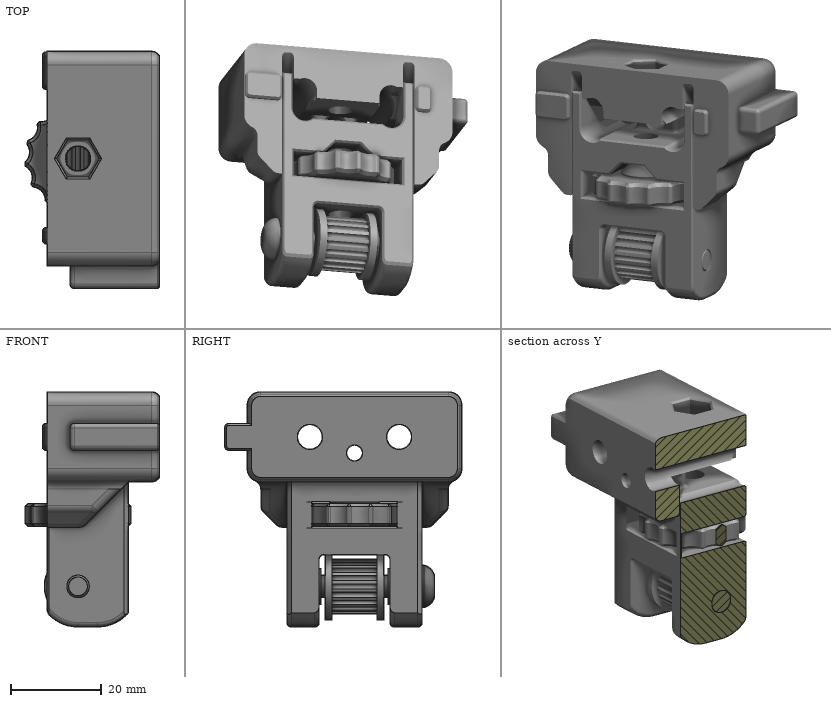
import cadquery as cq
import math


HOUSING_DEPTH = 25.0
HOUSING_WIDTH = 47.7
HOUSING_HEIGHT = 20.0
HOUSING_CORNER_RADIUS = 3.0
END_CHAMFER = 1.0
END_BLEND_RADIUS = 2.0
MID_HEIGHT = -HOUSING_HEIGHT / 2

CHEEK_HALF_WIDTH = 20.8
CHEEK_BOTTOM = -30.1
CHEEK_CORNER_DROP = 4.0
CHEEK_RADIUS = 2.0

CARRIAGE_WIDTH = 30.05
CARRIAGE_DEPTH = 18.0
SLIDE_GAP = 0.15
ARM_INNER = 12.7
ARM_TOP = -6.25
ARM_TIP_DEPTH = 0.55
FLOOR = -16.45
FRONT_CHAMFER = 0.4
BACK_CHAMFER = 1.0
LEG_FILLET = 1.0
LEG_END_RADIUS = 9.0

ARM_SLOT_TOP = -1.6
ARM_SLOT_INNER = 12.5
ARM_SLOT_FILLET = 0.8
CAVITY_TOP = -11.7
RELIEF_TOP = -7.55
RELIEF_INNER = 7.15
CAVITY_HALF_WIDTH = CARRIAGE_WIDTH / 2 + SLIDE_GAP
CAVITY_DEPTH = CARRIAGE_DEPTH + SLIDE_GAP

MOUNT_HOLE_DIAMETER = 5.5
MOUNT_HOLE_OFFSET = 9.9
PAD_HEIGHT = 6.0
PAD_THICKNESS = 1.0
PAD_CORNER_RADIUS = 1.0
PAD_CHAMFER = 0.5
PAD_INNER = 15.35
LONG_PAD_LENGTH = 8.4
SHORT_PAD_LENGTH = 3.6
SIDE_RAIL_START = 5.05
SIDE_RAIL_HEIGHT = 5.0
SIDE_RAIL_FILLET = 1.0
SIDE_RAIL_END_CHAMFER = 0.4

SCREW_X = 6.85
SCREW_HOLE_DIAMETER = 5.5
NUT_CORNER_DIAMETER = 9.5
NUT_POCKET_DEPTH = 6.6
NUT_POCKET_CHAMFER = 0.4

BOSS_HALF_WIDTH = 5.05
BOSS_FRONT = 11.8
BOSS_TOP = -10.45
BOSS_FILLET = 1.0
BOSS_HOLE_DIAMETER = 4.7
BOSS_HOLE_CHAMFER = 0.4
LOCK_HOLE_DIAMETER = 3.5
LOCK_HOLE_Z = -13.6
BOSS_POCKET_TOP = -6.0
BOSS_POCKET_GAP = 0.3

LOBE_Z = -14.35
LOBE_RADIUS = ARM_INNER - MOUNT_HOLE_OFFSET

WHEEL_RADIUS = 11.85
WHEEL_TOP = -24.75
WHEEL_BOTTOM = -29.95
WHEEL_CHAMFER = 0.75
WHEEL_HOLE_DIAMETER = 5.4
SCALLOP_COUNT = 15
SCALLOP_DIAMETER = 5.8
SCALLOP_CENTRE_RADIUS = 13.75
SCALLOP_TIP_FILLET = 0.4
CONE_BASE_DIAMETER = 11.1
CONE_TOP_DIAMETER = 5.8
CONE_BASE = -24.45
CONE_TOP = -22.15
WINDOW_HALF_WIDTH = 12.45
WINDOW_TOP = -24.45
WINDOW_BOTTOM = -30.2
WINDOW_BACK_RADIUS = 2.95
CONE_RECESS_TOP = -21.55
CONE_RECESS_TOP_RADIUS = 2.85

AXLE_X = SCREW_X
AXLE_Z = -43.2
AXLE_DIAMETER = 5.0
AXLE_TIP_CHAMFER = 0.4
HEAD_DIAMETER = 9.5
HEAD_FLAT_DIAMETER = 4.7
HEAD_HEIGHT = 2.8
HEAD_RIM = 0.35
HEAD_DOME_BULGE = 0.5
FORK_HALF_GAP = 7.85
FORK_TOP = -36.2
FORK_CORNER_RADIUS = 1.0
WASHER_DIAMETER = 8.0
WASHER_THICKNESS = 0.4
FLANGE_DIAMETER = 15.0
FLANGE_OUTER = 6.55
FLANGE_INNER = 4.95
FLANGE_CLEARANCE = 0.2
TOOTH_COUNT = 20
TOOTH_DIAMETER = 12.25
GROOVE_RADIUS = 0.6
GROOVE_CENTRE_RADIUS = 5.95

BELOW_PART = -57.95


def box(x_range, y_range, z_range):
    """Box between the given limits."""
    size = [limits[1] - limits[0] for limits in (x_range, y_range, z_range)]
    corner = (x_range[0], y_range[0], z_range[0])
    return cq.Workplane("XY").box(*size, centered=False).translate(corner)


def rod_x(diameter, start, end, y, z):
    """Round bar along X."""
    return cq.Workplane("YZ", origin=(start, y, z)).circle(diameter / 2).extrude(end - start)


def rod_y(diameter, start, end):
    """Round bar along Y, on the axle line."""
    bar = cq.Workplane("XZ", origin=(AXLE_X, start, AXLE_Z)).circle(diameter / 2)
    return bar.extrude(start - end)


def rod_z(diameter, bottom, top):
    """Round bar along Z, on the adjusting screw line."""
    return cq.Workplane("XY", origin=(SCREW_X, 0, bottom)).circle(diameter / 2).extrude(top - bottom)


def cone(base_radius, base_z, top_radius, top_z):
    """Truncated cone on the adjusting screw line."""
    outline = [(0, base_z), (base_radius, base_z), (top_radius, top_z), (0, top_z)]
    solid = cq.Workplane("XZ").polyline(outline).close().revolve(360, (0, 0), (0, 1))
    return solid.translate((SCREW_X, 0, 0))


def profile_xz(points, half_width):
    """Polygon of (x, z) points extended equally to both sides of Y = 0."""
    return cq.Workplane("XZ").polyline(points).close().extrude(half_width, both=True)


def mirror_pair(shape):
    """The shape together with its mirror image across Y = 0."""
    return shape.union(shape.mirror("XZ"))


def housing_block():
    """Rounded block whose far end is chamfered and blended into the sides."""
    block = box((0, HOUSING_DEPTH), (-HOUSING_WIDTH / 2, HOUSING_WIDTH / 2), (-HOUSING_HEIGHT, 0))
    block = block.edges("|X").fillet(HOUSING_CORNER_RADIUS)
    block = block.faces(">X").chamfer(END_CHAMFER)
    blend_plane = HOUSING_DEPTH - END_CHAMFER
    near_plane = cq.selectors.BoxSelector(
        (blend_plane - 0.05, -HOUSING_WIDTH, -2 * HOUSING_HEIGHT),
        (blend_plane + 0.05, HOUSING_WIDTH, HOUSING_HEIGHT),
    )
    return block.edges(near_plane).fillet(END_BLEND_RADIUS)


def slope_x(z):
    """X of the 45 degree back face of the cheeks at height z."""
    return CARRIAGE_DEPTH + HOUSING_HEIGHT + z


def cheeks():
    """Guide below the block with 45 degree lower corners and a back face sloping at 45 degrees."""
    top = -HOUSING_HEIGHT + HOUSING_CORNER_RADIUS
    outline = [(0, top), (slope_x(top), top), (slope_x(CHEEK_BOTTOM), CHEEK_BOTTOM), (0, CHEEK_BOTTOM)]
    body = profile_xz(outline, CHEEK_HALF_WIDTH)
    body = body.edges("|X").edges("<Z").chamfer(CHEEK_CORNER_DROP)
    back_slope = body.faces(cq.selectors.DirectionMinMaxSelector(cq.Vector(1, 0, -1), True))
    below_block = cq.selectors.BoxSelector(
        (-0.55, -HOUSING_WIDTH, BELOW_PART), (HOUSING_DEPTH, HOUSING_WIDTH, top - 0.55)
    )
    rounded = body.edges("|X").edges(below_block).add(back_slope.edges(below_block))
    return body.newObject(rounded.vals()).fillet(CHEEK_RADIUS)


def cheek_flare(side):
    """Concave blend from the lower corner of the block into the side of one cheek."""
    block_y = HOUSING_WIDTH / 2 - HOUSING_CORNER_RADIUS
    block_z = -HOUSING_HEIGHT + HOUSING_CORNER_RADIUS
    reach = HOUSING_CORNER_RADIUS + CHEEK_RADIUS
    centre_y = CHEEK_HALF_WIDTH + CHEEK_RADIUS
    centre_z = block_z - math.sqrt(reach**2 - (centre_y - block_y) ** 2)
    start_angle = math.atan2(block_z - centre_z, block_y - centre_y)
    middle_angle = (start_angle + math.pi) / 2

    def on_blend(angle):
        y = centre_y + CHEEK_RADIUS * math.cos(angle)
        z = centre_z + CHEEK_RADIUS * math.sin(angle)
        return (side * y, z)

    inner_y = side * block_y / 2
    flare = (
        cq.Workplane("YZ")
        .moveTo(inner_y, block_z)
        .lineTo(side * block_y, block_z)
        .lineTo(*on_blend(start_angle))
        .threePointArc(on_blend(middle_angle), on_blend(math.pi))
        .lineTo(inner_y, centre_z)
        .close()
        .extrude(HOUSING_DEPTH)
    )
    wedge = [(0, 0), (slope_x(0), 0), (slope_x(CHEEK_BOTTOM), CHEEK_BOTTOM), (0, CHEEK_BOTTOM)]
    return flare.intersect(profile_xz(wedge, HOUSING_WIDTH))


def arm_slot_wedge(top, y_range):
    """Space under a ceiling that slopes down at 45 degrees from the mounting face to the cavity top."""
    run = top - CAVITY_TOP
    wedge = cq.Workplane("XZ").polyline([(0, top), (run, CAVITY_TOP), (0, CAVITY_TOP)]).close()
    wedge = wedge.extrude(y_range[0] - y_range[1])
    return wedge.translate((0, y_range[0], 0))


def cavity():
    """Room for the carriage."""
    room = box(
        (0, CAVITY_DEPTH), (-CAVITY_HALF_WIDTH, CAVITY_HALF_WIDTH), (BELOW_PART, CAVITY_TOP)
    )
    slot = arm_slot_wedge(ARM_SLOT_TOP, (ARM_SLOT_INNER, CAVITY_HALF_WIDTH))
    ceiling = cq.selectors.DirectionMinMaxSelector(cq.Vector(1, 0, 1), True)
    slot = slot.faces(ceiling).edges("not |Y").fillet(ARM_SLOT_FILLET)
    relief = arm_slot_wedge(ARM_SLOT_TOP, (MOUNT_HOLE_OFFSET, ARM_SLOT_INNER + ARM_SLOT_FILLET))
    relief = relief.intersect(box((0, CAVITY_DEPTH), (0, HOUSING_WIDTH), (CAVITY_TOP, RELIEF_TOP)))
    under_hole = arm_slot_wedge(MID_HEIGHT, (RELIEF_INNER, MOUNT_HOLE_OFFSET))
    half = slot.union(relief).union(under_hole)
    boss_room_half = BOSS_HALF_WIDTH + BOSS_POCKET_GAP
    boss_room = box(
        (BOSS_FRONT - BOSS_POCKET_GAP, CAVITY_DEPTH),
        (-boss_room_half, boss_room_half),
        (CAVITY_TOP, BOSS_POCKET_TOP),
    )
    return room.union(mirror_pair(half)).union(boss_room)


def nut_pocket():
    """Hexagonal pocket with a chamfered mouth, and the screw hole below it."""
    pocket = cq.Workplane("XY").polygon(6, NUT_CORNER_DIAMETER).extrude(-NUT_POCKET_DEPTH)
    mouth_growth = 2 * NUT_POCKET_CHAMFER / math.cos(math.pi / 6)
    mouth = (
        cq.Workplane("XY")
        .polygon(6, NUT_CORNER_DIAMETER + mouth_growth)
        .workplane(offset=-NUT_POCKET_CHAMFER)
        .polygon(6, NUT_CORNER_DIAMETER)
        .loft(ruled=True)
    )
    pocket = pocket.union(mouth).translate((SCREW_X, 0, 0))
    return pocket.union(rod_z(SCREW_HOLE_DIAMETER, CAVITY_TOP, 0))


def locating_pad(y_start, length):
    """Raised pad on the mounting face."""
    half_height = PAD_HEIGHT / 2
    pad = box(
        (-PAD_THICKNESS, 0), (y_start, y_start + length), (MID_HEIGHT - half_height, MID_HEIGHT + half_height)
    )
    return pad.edges("|X").fillet(PAD_CORNER_RADIUS).faces("<X").chamfer(PAD_CHAMFER)


def side_rail():
    """Locating rail on the -Y side, rounded except at its far end."""
    half_height = PAD_HEIGHT / 2
    rail = box(
        (SIDE_RAIL_START, HOUSING_DEPTH),
        (-HOUSING_WIDTH / 2 - SIDE_RAIL_HEIGHT, -HOUSING_WIDTH / 2 + END_BLEND_RADIUS),
        (MID_HEIGHT - half_height, MID_HEIGHT + half_height),
    )
    rail = rail.faces("<Y or <X").edges("not >Y").edges("not >X").fillet(SIDE_RAIL_FILLET)
    return rail.faces(">X").edges("not >Y").chamfer(SIDE_RAIL_END_CHAMFER)


def make_housing():
    """Block, cheeks, pads and rail, hollowed for the carriage and drilled for the screws."""
    body = housing_block().union(cheeks())
    for side in (1, -1):
        body = body.union(cheek_flare(side))
    body = body.union(locating_pad(PAD_INNER, LONG_PAD_LENGTH))
    body = body.union(locating_pad(-PAD_INNER - SHORT_PAD_LENGTH, SHORT_PAD_LENGTH))
    body = body.union(side_rail())
    body = body.cut(cavity()).cut(nut_pocket())
    for side in (1, -1):
        body = body.cut(rod_x(MOUNT_HOLE_DIAMETER, 0, HOUSING_DEPTH, side * MOUNT_HOLE_OFFSET, MID_HEIGHT))
    return body.cut(rod_x(LOCK_HOLE_DIAMETER, CARRIAGE_DEPTH, HOUSING_DEPTH, 0, LOCK_HOLE_Z))


def carriage_blank():
    """Side profile of the carriage: arm tips on top, round leg ends below."""
    half_width = CARRIAGE_WIDTH / 2
    slope_run = ARM_TOP - FLOOR
    upper = profile_xz(
        [
            (0, ARM_TOP),
            (ARM_TIP_DEPTH, ARM_TOP),
            (ARM_TIP_DEPTH + slope_run, FLOOR),
            (CARRIAGE_DEPTH, FLOOR),
            (CARRIAGE_DEPTH, AXLE_Z),
            (0, AXLE_Z),
        ],
        half_width,
    )
    far_x = CARRIAGE_DEPTH - AXLE_X
    drop = math.sqrt(LEG_END_RADIUS**2 - AXLE_X**2)
    mid_angle = math.atan2(drop, AXLE_X) / 2 + math.pi / 4
    mid_x = LEG_END_RADIUS * math.cos(mid_angle)
    mid_z = AXLE_Z - LEG_END_RADIUS * math.sin(mid_angle)
    bottom = AXLE_Z - LEG_END_RADIUS
    ends = (
        cq.Workplane("XZ")
        .moveTo(0, AXLE_Z)
        .lineTo(0, AXLE_Z - drop)
        .threePointArc((AXLE_X - mid_x, mid_z), (AXLE_X, bottom))
        .lineTo(far_x, bottom)
        .threePointArc((far_x + mid_x, mid_z), (CARRIAGE_DEPTH, AXLE_Z - drop))
        .lineTo(CARRIAGE_DEPTH, AXLE_Z)
        .close()
        .extrude(half_width, both=True)
    )
    return upper.union(ends).clean()


def carriage_opening():
    """Opening between the arms, with lobes that clear the mounting bolts."""
    middle = box((0, CARRIAGE_DEPTH), (-MOUNT_HOLE_OFFSET, MOUNT_HOLE_OFFSET), (FLOOR, 0))
    lane = box((0, CARRIAGE_DEPTH), (MOUNT_HOLE_OFFSET - LOBE_RADIUS, ARM_INNER), (LOBE_Z, 0))
    lobe = rod_x(2 * LOBE_RADIUS, 0, CARRIAGE_DEPTH, MOUNT_HOLE_OFFSET, LOBE_Z)
    return middle.union(mirror_pair(lane.union(lobe)))


def fork_gap():
    """Gap between the two legs."""
    gap = box((0, CARRIAGE_DEPTH), (-FORK_HALF_GAP, FORK_HALF_GAP), (BELOW_PART, FORK_TOP))
    return gap.faces(">Z").edges("|X").fillet(FORK_CORNER_RADIUS)


def flange_relief():
    """Round grooves in the roof of the fork that clear the pulley flanges."""
    relief_radius = FLANGE_DIAMETER / 2 + FLANGE_CLEARANCE
    start = FLANGE_INNER - FLANGE_CLEARANCE
    return mirror_pair(rod_y(2 * relief_radius, FLANGE_OUTER + FLANGE_CLEARANCE, start))


def wheel_window():
    """Window for the wheel, rounded at the back, with a raised front for the cone of the wheel."""
    window = box((0, CARRIAGE_DEPTH), (-WINDOW_HALF_WIDTH, WINDOW_HALF_WIDTH), (WINDOW_BOTTOM, WINDOW_TOP))
    window = window.faces(">X").edges("|Z").fillet(WINDOW_BACK_RADIUS)
    base_radius = CONE_RECESS_TOP_RADIUS + CONE_RECESS_TOP - WINDOW_TOP
    front = (
        cq.Workplane("YZ")
        .polyline(
            [
                (-base_radius, WINDOW_TOP),
                (-CONE_RECESS_TOP_RADIUS, CONE_RECESS_TOP),
                (CONE_RECESS_TOP_RADIUS, CONE_RECESS_TOP),
                (base_radius, WINDOW_TOP),
            ]
        )
        .close()
        .extrude(SCREW_X)
    )
    return window.union(front).union(cone(base_radius, WINDOW_TOP, CONE_RECESS_TOP_RADIUS, CONE_RECESS_TOP))


def boss():
    """Boss standing on the carriage floor, with a flared foot and a chamfered screw hole."""
    half_plate = BOSS_HALF_WIDTH + BOSS_FILLET
    foot = box(
        (BOSS_FRONT - BOSS_FILLET, CARRIAGE_DEPTH), (-half_plate, half_plate), (FLOOR - BOSS_FILLET, FLOOR)
    )
    body = box((BOSS_FRONT, CARRIAGE_DEPTH), (-BOSS_HALF_WIDTH, BOSS_HALF_WIDTH), (FLOOR, BOSS_TOP))
    body = foot.union(body.faces("<X").edges("|Z").fillet(BOSS_FILLET))
    foot_edges = cq.selectors.BoxSelector(
        (BOSS_FRONT - 0.05, -BOSS_HALF_WIDTH - 0.05, FLOOR - 0.05),
        (CARRIAGE_DEPTH - 0.05, BOSS_HALF_WIDTH + 0.05, FLOOR + 0.05),
    )
    body = body.edges(foot_edges).fillet(BOSS_FILLET - 0.05)
    hole = rod_x(BOSS_HOLE_DIAMETER, BOSS_FRONT, CARRIAGE_DEPTH, 0, LOCK_HOLE_Z)
    mouth_diameter = BOSS_HOLE_DIAMETER + 2 * BOSS_HOLE_CHAMFER
    mouth = rod_x(mouth_diameter, BOSS_FRONT - BOSS_FILLET, BOSS_FRONT + BOSS_HOLE_CHAMFER, 0, LOCK_HOLE_Z)
    mouth = mouth.faces(">X").chamfer(BOSS_HOLE_CHAMFER)
    return body.cut(hole).cut(mouth)


def above_leg_ends():
    """Selector for everything above the round leg ends."""
    half = CARRIAGE_WIDTH
    return cq.selectors.BoxSelector((-0.55, -half, AXLE_Z - AXLE_X), (CARRIAGE_DEPTH + 0.55, half, 0))


def leg_profile_edges(body):
    """Edges between the round leg ends and the flat sides of the legs."""
    lowest = AXLE_Z - LEG_END_RADIUS
    start = AXLE_Z - math.sqrt(LEG_END_RADIUS**2 - AXLE_X**2)
    zone = cq.selectors.BoxSelector(
        (-0.55, -CARRIAGE_WIDTH, lowest - 0.55), (CARRIAGE_DEPTH + 0.55, CARRIAGE_WIDTH, start - 0.05)
    )
    return body.edges(zone).edges("not |Y")


def back_corner_cut():
    """Chamfer along the outer back corner of the carriage."""
    side_y = CARRIAGE_WIDTH / 2
    corner = [
        (CARRIAGE_DEPTH, side_y),
        (CARRIAGE_DEPTH - BACK_CHAMFER, side_y),
        (CARRIAGE_DEPTH, side_y - BACK_CHAMFER),
    ]
    return cq.Workplane("XY").polyline(corner).close().extrude(BELOW_PART)


def make_carriage():
    """Sliding carriage with two arms above, a wheel window, and a fork for the pulley below."""
    body = carriage_blank().cut(fork_gap())
    body = leg_profile_edges(body).fillet(LEG_FILLET)
    body = body.cut(mirror_pair(back_corner_cut()))
    body = body.cut(carriage_opening()).cut(wheel_window())
    front_edges = body.faces("<X").edges(above_leg_ends())
    body = front_edges.chamfer(FRONT_CHAMFER)
    body = body.union(boss()).cut(flange_relief())
    body = body.cut(rod_z(SCREW_HOLE_DIAMETER, BELOW_PART, 0))
    return body.cut(rod_y(AXLE_DIAMETER, CARRIAGE_WIDTH, -CARRIAGE_WIDTH))


def scallop_chamfer():
    """Flared ends of one scallop, which chamfer its upper and lower rims."""
    radius = SCALLOP_DIAMETER / 2
    wide = radius + WHEEL_CHAMFER
    upper = cone(radius, WHEEL_TOP - WHEEL_CHAMFER, wide, WHEEL_TOP)
    lower = cone(wide, WHEEL_BOTTOM, radius, WHEEL_BOTTOM + WHEEL_CHAMFER)
    return upper.union(lower)


def around_wheel(cutter):
    """Copies of a cutter placed at every scallop."""
    copies = []
    for index in range(SCALLOP_COUNT):
        angle = math.pi / 2 + (2 * index + 1) * math.pi / SCALLOP_COUNT
        x = SCALLOP_CENTRE_RADIUS * math.cos(angle)
        y = SCALLOP_CENTRE_RADIUS * math.sin(angle)
        copies.append(cutter.translate((x, y, 0)))
    return copies


def make_wheel():
    """Scalloped thumb wheel with a cone on top and a hole through both."""
    disc = rod_z(2 * WHEEL_RADIUS, WHEEL_BOTTOM, WHEEL_TOP)
    body = disc
    for scallop in around_wheel(rod_z(SCALLOP_DIAMETER, WHEEL_BOTTOM, WHEEL_TOP)):
        body = body.cut(scallop)
    body = body.edges("|Z").fillet(SCALLOP_TIP_FILLET)
    for flare in around_wheel(scallop_chamfer()):
        body = body.cut(flare)
    body = body.intersect(disc.faces("<Z or >Z").chamfer(WHEEL_CHAMFER))
    body = body.union(rod_z(CONE_BASE_DIAMETER, WHEEL_TOP, CONE_BASE))
    body = body.union(cone(CONE_BASE_DIAMETER / 2, CONE_BASE, CONE_TOP_DIAMETER / 2, CONE_TOP))
    return body.cut(rod_z(WHEEL_HOLE_DIAMETER, WHEEL_BOTTOM, CONE_TOP))


def make_pulley():
    """Toothed belt pulley between two flanges."""
    body = rod_y(TOOTH_DIAMETER, FLANGE_INNER, -FLANGE_INNER)
    for index in range(TOOTH_COUNT):
        angle = 2 * math.pi * index / TOOTH_COUNT
        x = GROOVE_CENTRE_RADIUS * math.cos(angle)
        z = GROOVE_CENTRE_RADIUS * math.sin(angle)
        body = body.cut(rod_y(2 * GROOVE_RADIUS, FLANGE_INNER, -FLANGE_INNER).translate((x, 0, z)))
    body = body.union(mirror_pair(rod_y(FLANGE_DIAMETER, FLANGE_OUTER, FLANGE_INNER)))
    return body.cut(rod_y(AXLE_DIAMETER, FLANGE_OUTER, -FLANGE_OUTER))


def make_axle():
    """Button-head bolt entering from +Y, with a chamfered tip flush with the other leg."""
    half_width = CARRIAGE_WIDTH / 2
    shank = rod_y(AXLE_DIAMETER, half_width, -half_width).faces("<Y").chamfer(AXLE_TIP_CHAMFER)
    rim_y = half_width + HEAD_RIM
    top_y = half_width + HEAD_HEIGHT
    head = (
        cq.Workplane("XY")
        .moveTo(0, half_width)
        .lineTo(HEAD_DIAMETER / 2, half_width)
        .lineTo(HEAD_DIAMETER / 2, rim_y)
        .sagittaArc((HEAD_FLAT_DIAMETER / 2, top_y), -HEAD_DOME_BULGE)
        .lineTo(0, top_y)
        .close()
        .revolve(360, (0, 0), (0, 1))
        .translate((AXLE_X, 0, AXLE_Z))
    )
    return shank.union(head)


def make_washer(side):
    """Washer against the inner face of one leg."""
    outer = side * FORK_HALF_GAP
    inner = side * (FORK_HALF_GAP - WASHER_THICKNESS)
    return rod_y(WASHER_DIAMETER, outer, inner).cut(rod_y(AXLE_DIAMETER, outer, inner))


housing = make_housing()
carriage = make_carriage()
wheel = make_wheel()
pulley = make_pulley()
axle = make_axle()
washers = [make_washer(side) for side in (1, -1)]

result = cq.Compound.makeCompound(
    [
        housing.val(),
        carriage.val(),
        wheel.val(),
        pulley.val(),
        axle.val(),
        *[washer.val() for washer in washers],
    ]
)